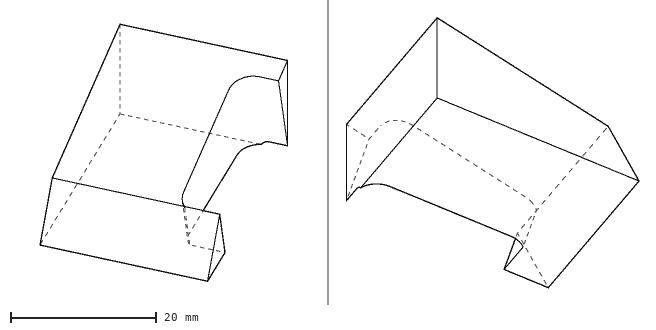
import cadquery as cq
import math

width = 24.5
length = 32.23
height = 15.35
ridge_y = 4.93
ridge_z = 8.05

notch_floor_x = 18.37
notch_back_y = 28.6
corner_radius = 3.4
front_wall_x = 19.35

slope = math.atan2(height - ridge_z, length - ridge_y)


def make_wedge():
    """Side profile extruded across the full width."""
    profile = [(0, 0), (length, 0), (length, height), (ridge_y, ridge_z)]
    return cq.Workplane("YZ").polyline(profile).close().extrude(width)


def make_notch():
    """Through cutter whose front wall starts exactly at the ridge."""
    top_plane = cq.Plane(
        origin=(0, ridge_y, ridge_z),
        xDir=(1, 0, 0),
        normal=(0, -math.sin(slope), math.cos(slope)),
    )
    notch_length = (notch_back_y - ridge_y) / math.cos(slope)
    corner_x = notch_floor_x + corner_radius
    diagonal = corner_radius * math.sqrt(0.5)

    front_offset = corner_x - front_wall_x
    front_center = math.sqrt(corner_radius**2 - front_offset**2)
    half_angle = math.asin(front_center / corner_radius) / 2
    front_mid = (
        corner_x - corner_radius * math.cos(half_angle),
        front_center - corner_radius * math.sin(half_angle),
    )
    back_center = notch_length - corner_radius
    back_mid = (corner_x - diagonal, back_center + diagonal)

    return (
        cq.Workplane(top_plane)
        .moveTo(width, 0)
        .lineTo(front_wall_x, 0)
        .threePointArc(front_mid, (notch_floor_x, front_center))
        .lineTo(notch_floor_x, back_center)
        .threePointArc(back_mid, (corner_x, notch_length))
        .lineTo(width, notch_length)
        .close()
        .extrude(-2 * height)
    )


result = make_wedge().cut(make_notch())